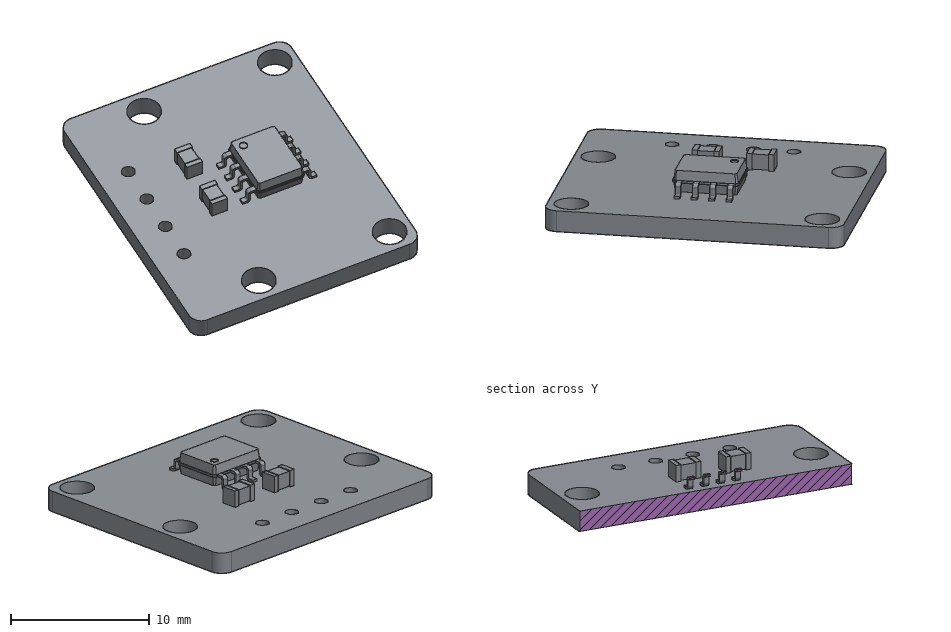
import cadquery as cq
import math


BOARD_LENGTH = 22.0
BOARD_WIDTH = 18.4
BOARD_THICKNESS = 1.6
BOARD_CORNER_RADIUS = 1.0

MOUNT_HOLE_DIAMETER = 2.5
MOUNT_HOLE_X = 9.25
MOUNT_HOLE_ROWS_Y = (7.45, -3.15)

PIN_HOLE_DIAMETER = 1.0
PIN_HOLE_PITCH = 3.0
PIN_HOLE_COUNT = 4
PIN_HOLE_ROW_Y = -6.82

TOTAL_HEIGHT = 3.4
MOUNTING_GAP = 0.05
MOUNTING_Z = BOARD_THICKNESS + MOUNTING_GAP

CHIP_CENTER_Y = 2.13
CHIP_LENGTH = 4.9
CHIP_WIDTH = 3.92
CHIP_CORNER_CHAMFER = 0.22
CHIP_CLEARANCE = 0.18
CHIP_BOTTOM_Z = BOARD_THICKNESS + CHIP_CLEARANCE
BAND_STEP = 0.077
HALF_DRAFT_ANGLE = 8.0

DOT_DIAMETER = 0.6
DOT_DEPTH = 0.07
DOT_X = -1.58
DOT_OFFSET_Y = -1.08
DOT_Y = CHIP_CENTER_Y + DOT_OFFSET_Y

LEAD_COUNT = 4
LEAD_PITCH = 1.28
LEAD_WIDTH = 0.42
LEAD_THICKNESS = 0.18
LEAD_SHOULDER_HEIGHT = 1.08
LEAD_TOP_Z = BOARD_THICKNESS + LEAD_SHOULDER_HEIGHT
LEAD_SPAN = 6.0
LEAD_SHANK_REACH = 2.55
LEAD_INNER_RADIUS = 0.09
LEAD_OUTER_RADIUS = LEAD_INNER_RADIUS + LEAD_THICKNESS
LEAD_EMBEDMENT = 0.45
LEAD_ROOT = CHIP_WIDTH / 2 - LEAD_EMBEDMENT

CAPACITOR_CENTERS_X = (-2.88, 1.15)
CAPACITOR_CENTER_Y = -2.75
CAPACITOR_LENGTH = 2.0
CAPACITOR_WIDTH = 1.25
CAPACITOR_HEIGHT = 1.28
TERMINAL_LENGTH = 0.4
CORE_INSET = 0.055


def make_board():
    board = (
        cq.Workplane("XY")
        .rect(BOARD_LENGTH, BOARD_WIDTH)
        .extrude(BOARD_THICKNESS)
        .edges("|Z")
        .fillet(BOARD_CORNER_RADIUS)
    )
    mount_points = [(x, y) for x in (-MOUNT_HOLE_X, MOUNT_HOLE_X) for y in MOUNT_HOLE_ROWS_Y]
    board = board.faces(">Z").workplane(origin=(0, 0, 0)).pushPoints(mount_points).hole(MOUNT_HOLE_DIAMETER)
    return (
        board.faces(">Z")
        .workplane(origin=(0, PIN_HOLE_ROW_Y, 0))
        .rarray(PIN_HOLE_PITCH, 0.22, PIN_HOLE_COUNT, 1)
        .hole(PIN_HOLE_DIAMETER)
    )


def package_slab(z, inset, height, draft=0.0):
    """Chamfered rectangle, inset from the full chip outline, extruded from z by a signed height."""
    chamfer = CHIP_CORNER_CHAMFER - inset * (2 - math.sqrt(2))
    half_length = CHIP_LENGTH / 2 - inset
    half_width = CHIP_WIDTH / 2 - inset
    outline = [
        (half_length, half_width - chamfer),
        (half_length - chamfer, half_width),
        (chamfer - half_length, half_width),
        (-half_length, half_width - chamfer),
        (-half_length, chamfer - half_width),
        (chamfer - half_length, -half_width),
        (half_length - chamfer, -half_width),
        (half_length, chamfer - half_width),
    ]
    sketch = cq.Workplane("XY", origin=(0, CHIP_CENTER_Y, z)).polyline(outline).close()
    return sketch.extrude(height, taper=draft)


def make_package():
    band_bottom_z = LEAD_TOP_Z - LEAD_THICKNESS
    band = package_slab(band_bottom_z, 0.0, LEAD_THICKNESS)
    upper_half = package_slab(LEAD_TOP_Z, BAND_STEP, TOTAL_HEIGHT - LEAD_TOP_Z, HALF_DRAFT_ANGLE)
    lower_half = package_slab(band_bottom_z, BAND_STEP, CHIP_BOTTOM_Z - band_bottom_z, HALF_DRAFT_ANGLE)
    dot = (
        cq.Workplane("XY", origin=(DOT_X, DOT_Y, TOTAL_HEIGHT - DOT_DEPTH))
        .circle(DOT_DIAMETER / 2)
        .extrude(DOT_DEPTH)
    )
    return band.union(upper_half).union(lower_half).cut(dot)


def make_lead(x):
    """Gull-wing lead on the +Y side: shoulder, upright shank and foot, bent with round corners."""
    shank_outer = LEAD_SHANK_REACH
    shank_inner = shank_outer - LEAD_THICKNESS
    shoulder_bottom_z = LEAD_TOP_Z - LEAD_THICKNESS
    foot_top_z = MOUNTING_Z + LEAD_THICKNESS
    toe = LEAD_SPAN / 2
    r_in = LEAD_INNER_RADIUS
    r_out = LEAD_OUTER_RADIUS
    return (
        cq.Workplane("YZ", origin=(x - LEAD_WIDTH / 2, CHIP_CENTER_Y, 0))
        .moveTo(LEAD_ROOT, LEAD_TOP_Z)
        .lineTo(shank_outer - r_out, LEAD_TOP_Z)
        .radiusArc((shank_outer, LEAD_TOP_Z - r_out), r_out)
        .lineTo(shank_outer, foot_top_z + r_in)
        .radiusArc((shank_outer + r_in, foot_top_z), -r_in)
        .lineTo(toe, foot_top_z)
        .lineTo(toe, MOUNTING_Z)
        .lineTo(shank_inner + r_out, MOUNTING_Z)
        .radiusArc((shank_inner, MOUNTING_Z + r_out), r_out)
        .lineTo(shank_inner, shoulder_bottom_z - r_in)
        .radiusArc((shank_inner - r_in, shoulder_bottom_z), -r_in)
        .lineTo(LEAD_ROOT, shoulder_bottom_z)
        .close()
        .extrude(LEAD_WIDTH)
    )


def make_chip():
    chip = make_package()
    first_lead_x = -(LEAD_COUNT - 1) * LEAD_PITCH / 2
    for i in range(LEAD_COUNT):
        lead = make_lead(first_lead_x + i * LEAD_PITCH)
        opposite_lead = lead.mirror("XZ", (0, CHIP_CENTER_Y, 0))
        chip = chip.union(lead).union(opposite_lead)
    return chip


def make_capacitor(x):
    terminal_offset = (CAPACITOR_LENGTH - TERMINAL_LENGTH) / 2
    center = (x, CAPACITOR_CENTER_Y, MOUNTING_Z + CAPACITOR_HEIGHT / 2)
    terminals = (
        cq.Workplane("XY", origin=center)
        .pushPoints([(-terminal_offset, 0), (terminal_offset, 0)])
        .box(TERMINAL_LENGTH, CAPACITOR_WIDTH, CAPACITOR_HEIGHT)
    )
    core = cq.Workplane("XY", origin=center).box(
        CAPACITOR_LENGTH - TERMINAL_LENGTH,
        CAPACITOR_WIDTH - 2 * CORE_INSET,
        CAPACITOR_HEIGHT - 2 * CORE_INSET,
    )
    return terminals.union(core)


board = make_board()
chip = make_chip()
capacitors = [make_capacitor(x) for x in CAPACITOR_CENTERS_X]

result = cq.Compound.makeCompound([board.val(), chip.val(), *[capacitor.val() for capacitor in capacitors]])